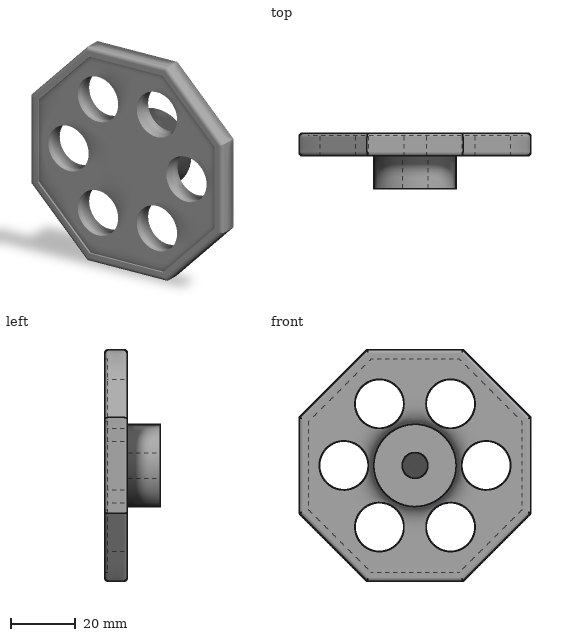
import cadquery as cq
import math

across_flats = 71.6
plate_thickness = 7.0
edge_radius = 1.2
sides = 8

recess_depth = 0.7
rim_width = 2.85

total_depth = 17.2
hub_diameter = 25.4
hub_height = total_depth - plate_thickness
bore_diameter = 7.95
bore_depth = hub_height

hole_count = 6
hole_diameter = 15.0
hole_ring_radius = 22.0


def octagon_prism(flats, start_y, length):
    """Regular octagon with flats on X and Z, extruded from start_y toward +Y."""
    across_corners = flats / math.cos(math.pi / sides)
    return (
        cq.Workplane("XZ", origin=(0, start_y, 0))
        .transformed(rotate=(0, 0, 180 / sides))
        .polygon(sides, across_corners)
        .extrude(-length)
    )


def make_plate():
    """Octagonal plate rounded around both faces and recessed at the back."""
    plate = octagon_prism(across_flats, 0, plate_thickness)
    plate = plate.faces("<Y or >Y").edges().fillet(edge_radius)
    recess_flats = across_flats - 2 * rim_width
    recess = octagon_prism(recess_flats, plate_thickness - recess_depth, recess_depth)
    return plate.cut(recess)


def make_hub():
    """Round hub from the plate's front face toward -Y."""
    return cq.Workplane("XZ").circle(hub_diameter / 2).extrude(hub_height)


def make_ring_holes():
    """Cutters for the holes that pass through the plate."""
    return (
        cq.Workplane("XZ")
        .polarArray(hole_ring_radius, 0, 360, hole_count)
        .circle(hole_diameter / 2)
        .extrude(-plate_thickness)
    )


def make_bore():
    """Cutter for the blind bore, entering from the hub's end face."""
    return (
        cq.Workplane("XZ", origin=(0, -hub_height, 0))
        .circle(bore_diameter / 2)
        .extrude(-bore_depth)
    )


result = make_plate().union(make_hub()).cut(make_ring_holes()).cut(make_bore())